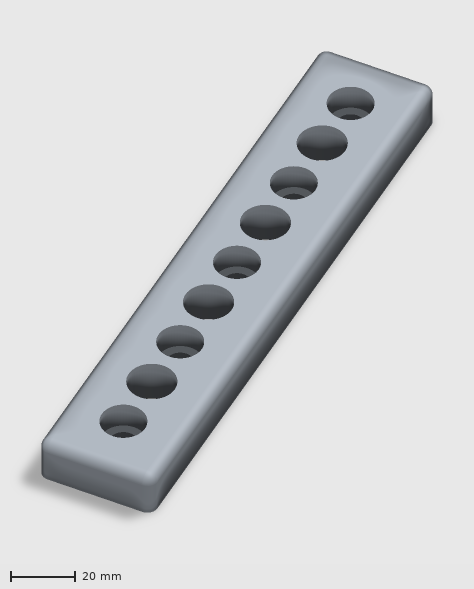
import cadquery as cq

width = 40.0
length = 200.0
height = 15.0
edge_round_diameter = 7.0
edge_radius = edge_round_diameter / 2

hole_pitch = 20.0
hole_count = 9
plain_diameter = 16.0
screw_diameter = 9.0
counterbore_diameter = 15.0
counterbore_depth = 9.0


def rounded_bar():
    """Bar standing on Z = 0 with rounded upright and top edges and a sharp bottom."""
    bar = cq.Workplane("XY").box(width, length, height, centered=(True, True, False))
    return bar.edges("|Z or >Z").fillet(edge_radius)


row_start = -hole_pitch * (hole_count - 1) / 2
centres = [(0, row_start + i * hole_pitch) for i in range(hole_count)]
screw_centres = centres[0::2]
plain_centres = centres[1::2]

bar_top = rounded_bar().faces(">Z").workplane(origin=(0, 0, height))
with_screw_holes = bar_top.pushPoints(screw_centres).cboreHole(
    screw_diameter, counterbore_diameter, counterbore_depth
)

top_plane = with_screw_holes.faces(">Z").workplane(origin=(0, 0, height))
result = top_plane.pushPoints(plain_centres).hole(plain_diameter)